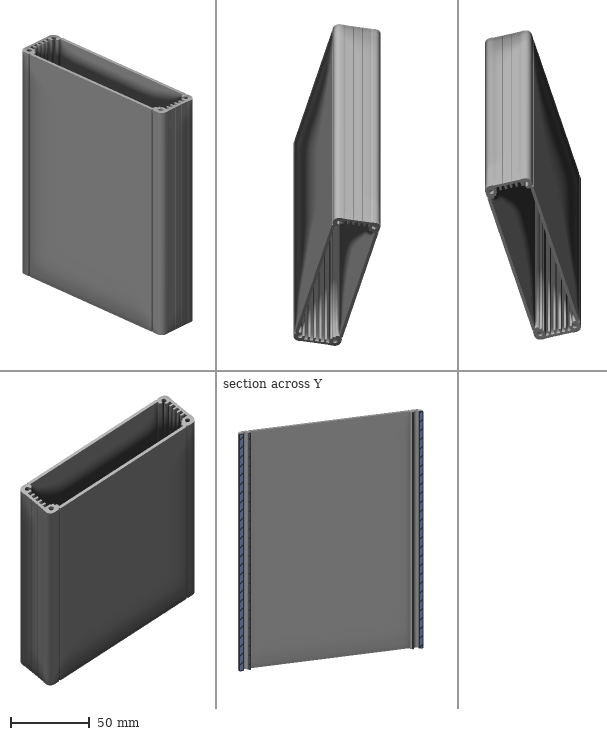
import cadquery as cq

width = 125.0
depth = 30.5
length = 160.0
half_width = width / 2
half_depth = depth / 2
corner_radius = 4.0

plate_thickness = 2.0
inner_back_y = half_depth - plate_thickness
inner_front_y = plate_thickness - half_depth
inner_side_x = 60.3

rib_count = 4
rib_thickness = 1.35
rib_zone = 16.3
rib_end_x = 57.5
rib_slot = (rib_zone - rib_count * rib_thickness) / (rib_count + 1)
rib_pitch = rib_slot + rib_thickness

screw_x = 58.0
screw_y = 11.4
screw_radius = 1.6

boss_inner_x = 54.0
boss_inner_y = rib_zone / 2
finger_end_x = 57.0
finger_end_y = 10.5
slit_x = 56.0
finger_chamfer = 1.0
side_finger_chamfer = 0.5

joint_x = 54.0
step_x = 56.2
step_drop = 1.0
step_run = 0.6
lip_top_y = -10.7
lip_bottom_y = -12.5
lip_inner_x = 52.5
lip_end_x = 56.2
lip_chamfer = 0.6

back_groove_x = 55.2
groove_width = 1.3
groove_depth = 0.6
side_groove_y = 2.9
side_groove_depth = 0.29

panel_depth = 0.24
panel_half_height = 9.6
panel_bevel = 1.1


def bar(points):
    """Closed outline extruded over the full length."""
    return cq.Workplane("XY").polyline(points).close().extrude(length)


def block(x_min, x_max, y_min, y_max):
    """Rectangular bar over the full length."""
    return bar([(x_min, y_min), (x_max, y_min), (x_max, y_max), (x_min, y_max)])


def outer_bar():
    """Solid rounded bar that both bodies are taken from."""
    return (
        cq.Workplane("XY")
        .rect(width, depth)
        .extrude(length)
        .edges("|Z")
        .fillet(corner_radius)
    )


def back_boss():
    """Right-hand back corner boss, its two fingers parted by a slit."""
    return bar(
        [
            (inner_side_x, inner_back_y),
            (boss_inner_x, inner_back_y),
            (boss_inner_x, finger_end_y + finger_chamfer),
            (boss_inner_x + finger_chamfer, finger_end_y),
            (slit_x, finger_end_y),
            (slit_x, screw_y),
            (finger_end_x, screw_y),
            (finger_end_x, boss_inner_y + side_finger_chamfer),
            (finger_end_x + side_finger_chamfer, boss_inner_y),
            (inner_side_x, boss_inner_y),
        ]
    )


def front_boss():
    """Right-hand front corner boss, stepped down towards the joint."""
    top_y = -rib_zone / 2
    step_y = top_y - step_drop
    return bar(
        [
            (inner_side_x, top_y),
            (step_x, top_y),
            (step_x - step_run, step_y),
            (joint_x, step_y),
            (joint_x, inner_front_y),
            (inner_side_x, inner_front_y),
        ]
    )


def rib_slots():
    """Right-hand slots that leave the ribs between them."""
    slots = []
    first_y = -rib_count * rib_pitch / 2
    for index in range(rib_count + 1):
        y = first_y + index * rib_pitch
        slot = block(rib_end_x, inner_side_x, y - rib_slot / 2, y + rib_slot / 2)
        slots.append(slot)
    return slots


def screw_channel(y):
    """Right-hand screw hole through the full length."""
    return cq.Workplane("XY").center(screw_x, y).circle(screw_radius).extrude(length)


def face_groove(x, y):
    """Square-bottomed groove in a wide face, centred on the surface point (x, y)."""
    half_groove = groove_width / 2
    return block(x - half_groove, x + half_groove, y - groove_depth, y + groove_depth)


def side_panel():
    """Material removed from the right-hand short side to form the bevelled recess."""
    floor_x = half_width - panel_depth
    floor_half = panel_half_height - panel_bevel
    return bar(
        [
            (half_width, -panel_half_height),
            (half_width, panel_half_height),
            (floor_x, floor_half),
            (floor_x, -floor_half),
        ]
    )


def side_groove(y):
    """V-groove in the floor of the right-hand recess."""
    floor_x = half_width - panel_depth
    return bar(
        [
            (floor_x, y - side_groove_depth),
            (floor_x, y + side_groove_depth),
            (floor_x - side_groove_depth, y),
        ]
    )


def make_housing():
    cavity = block(-rib_end_x, rib_end_x, inner_front_y, inner_back_y)
    body = outer_bar().cut(cavity)
    for boss in (back_boss(), front_boss()):
        body = body.union(boss).union(boss.mirror("YZ"))
    body = body.cut(block(-joint_x, joint_x, -half_depth, lip_bottom_y))
    removed = [
        *rib_slots(),
        block(joint_x, screw_x, lip_bottom_y, lip_top_y),
        screw_channel(screw_y),
        screw_channel(-screw_y),
        face_groove(back_groove_x, half_depth),
        face_groove(joint_x, -half_depth),
        side_panel(),
        side_groove(side_groove_y),
        side_groove(-side_groove_y),
    ]
    for tool in removed:
        body = body.cut(tool).cut(tool.mirror("YZ"))
    return body


def make_cover():
    plate = block(-joint_x, joint_x, -half_depth, inner_front_y)
    lip = bar(
        [
            (joint_x, -half_depth + groove_depth),
            (joint_x, lip_bottom_y),
            (lip_end_x, lip_bottom_y),
            (lip_end_x, lip_top_y),
            (lip_inner_x + lip_chamfer, lip_top_y),
            (lip_inner_x, lip_top_y - lip_chamfer),
            (lip_inner_x, -half_depth + groove_depth),
        ]
    )
    body = plate.union(lip).union(lip.mirror("YZ"))
    groove = face_groove(joint_x, -half_depth)
    return body.cut(groove).cut(groove.mirror("YZ"))


housing = make_housing()
cover = make_cover()
result = cq.Compound.makeCompound([housing.solids().val(), cover.solids().val()])